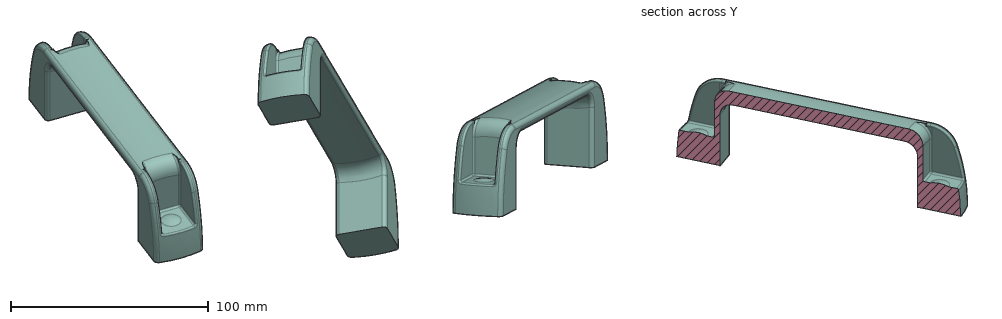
import cadquery as cq
import math

length = 155.81
width = 27.0
height = 44.93

crown_radius = 56.0
corner_radius = 15.8
corner_start_x = 57.2
outer_edge_fillet = 2.6
crown_band_depth = 7.0

opening_half_length = 54.0
opening_height = 36.93
ceiling_crown_radius = 50.0
opening_corner_radius = 7.0
opening_edge_fillet = 2.1

pocket_width = 18.5
pocket_floor_z = 16.0
pocket_back_x = 57.2
pocket_corner_radius = 1.0

flare_radius = 8.3
flare_overrun = 0.01
flare_sweep_half_angle = 40.0

lip_fillet = 1.0
lip_end_x = 55.0
lip_step_z = 42.6

screw_spacing = 132.3
dome_diameter = 10.2
dome_height = 0.9

margin = 10.0

half_length = length / 2
half_width = width / 2
tool_end_x = half_length + margin


def arc_rise(radius, half_chord):
    """Height of a circular arc above its chord."""
    return radius - math.sqrt(radius**2 - half_chord**2)


def half_outline_points(inset):
    """Points of the left outer outline: leg foot, leg arc middle, junction, corner middle, corner end."""
    corner_z = height - corner_radius
    reach = half_length - corner_start_x - corner_radius
    centre_gap = (corner_z**2 + reach**2) / (2 * reach)
    leg_radius = centre_gap + corner_radius
    leg_centre_x = leg_radius - half_length
    junction_angle = math.asin(corner_z / centre_gap)
    middle_angle = (junction_angle + math.pi / 2) / 2

    def on_leg(angle):
        radius = leg_radius - inset
        return leg_centre_x - radius * math.cos(angle), radius * math.sin(angle)

    def on_corner(angle):
        radius = corner_radius - inset
        return -corner_start_x - radius * math.cos(angle), corner_z + radius * math.sin(angle)

    return [
        on_leg(0),
        on_leg(junction_angle / 2),
        on_leg(junction_angle),
        on_corner(middle_angle),
        on_corner(math.pi / 2),
    ]


def outer_outline(inset):
    """Open outline from the left foot over the bar to the right foot."""
    left = half_outline_points(inset)
    right = [(-x, z) for x, z in reversed(left)]
    return (
        cq.Workplane("XZ")
        .moveTo(*left[0])
        .threePointArc(left[1], left[2])
        .threePointArc(left[3], left[4])
        .lineTo(*right[0])
        .threePointArc(right[1], right[2])
        .threePointArc(right[3], right[4])
    )


def make_outer_body():
    edge_x = arc_rise(crown_radius, half_width) - half_length
    band_x = crown_band_depth - half_length
    crown_band = (
        cq.Workplane("XY")
        .moveTo(edge_x, -half_width)
        .threePointArc((-half_length, 0), (edge_x, half_width))
        .lineTo(band_x, half_width)
        .lineTo(band_x, -half_width)
        .close()
        .sweep(outer_outline(0), transition="right")
    )
    core = outer_outline(crown_band_depth).close().extrude(half_width, both=True)
    return crown_band.union(core)


def make_opening():
    edge_z = opening_height + arc_rise(ceiling_crown_radius, half_width + margin)
    side_y = half_width + margin
    opening = (
        cq.Workplane("YZ")
        .moveTo(-side_y, -margin)
        .lineTo(side_y, -margin)
        .lineTo(side_y, edge_z)
        .threePointArc((0, opening_height), (-side_y, edge_z))
        .close()
        .extrude(opening_half_length, both=True)
    )
    return opening.edges("%CIRCLE").fillet(opening_corner_radius)


def fillet_side_edges(body, max_x, max_z, radius):
    """Round the edges of both flat side faces that lie above the feet and within the given reach."""
    reach = cq.selectors.BoxSelector((-max_x, -width, 0.1), (max_x, width, max_z))
    return body.faces("<Y or >Y").edges(reach).fillet(radius)


def make_handle():
    handle = fillet_side_edges(make_outer_body(), length, height, outer_edge_fillet)
    handle = handle.cut(make_opening())
    ceiling_side_z = opening_height + arc_rise(ceiling_crown_radius, half_width)
    return fillet_side_edges(handle, opening_half_length + 0.1, ceiling_side_z + 0.1, opening_edge_fillet)


def make_lip_slot():
    """Front part of the left pocket, stepped so that the lip can run back above the flare."""
    slot_back_x = pocket_back_x + pocket_corner_radius
    return (
        cq.Workplane("XZ")
        .moveTo(-tool_end_x, pocket_floor_z)
        .lineTo(-slot_back_x, pocket_floor_z)
        .lineTo(-slot_back_x, lip_step_z)
        .lineTo(-lip_end_x, lip_step_z)
        .lineTo(-lip_end_x, height + margin)
        .lineTo(-tool_end_x, height + margin)
        .close()
        .extrude(pocket_width / 2, both=True)
        .faces("<Z")
        .edges("|X")
        .fillet(pocket_corner_radius)
    )


def make_flared_pocket():
    """Full left pocket: its flared back is turned about the crown axis, its inner corners are rounded."""
    flare_top_z = height + flare_overrun
    flare_end_x = pocket_back_x - flare_radius
    flare_centre_z = flare_top_z - flare_radius
    diagonal = flare_radius * math.sqrt(0.5)
    crown_axis_z = height - crown_radius
    flared_block = (
        cq.Workplane("XZ")
        .moveTo(-tool_end_x, 0)
        .lineTo(-pocket_back_x, 0)
        .lineTo(-pocket_back_x, flare_centre_z)
        .threePointArc(
            (-flare_end_x - diagonal, flare_centre_z + diagonal),
            (-flare_end_x, flare_top_z),
        )
        .lineTo(-flare_end_x, height + margin)
        .lineTo(-tool_end_x, height + margin)
        .close()
        .revolve(2 * flare_sweep_half_angle, (0, crown_axis_z), (1, crown_axis_z))
        .rotate((0, 0, crown_axis_z), (1, 0, crown_axis_z), -flare_sweep_half_angle)
    )
    pocket_walls = (
        cq.Workplane("XY", origin=(0, 0, pocket_floor_z))
        .rect(2 * tool_end_x, pocket_width)
        .extrude(height + margin / 2 - pocket_floor_z)
    )
    pocket = flared_block.intersect(pocket_walls)
    side_edges = cq.selectors.BoxSelector(
        (-half_length, -half_width, 0), (-flare_end_x - 1, half_width, height)
    )
    return pocket.faces("<Y or >Y or <Z").edges(side_edges).fillet(pocket_corner_radius)


def make_dome():
    """Spherical cap on the left pocket floor, over the screw."""
    dome_radius = dome_diameter / 2
    sphere_radius = (dome_radius**2 + dome_height**2) / (2 * dome_height)
    top_z = pocket_floor_z + dome_height
    return (
        cq.Workplane("XY", origin=(-screw_spacing / 2, 0, top_z - sphere_radius))
        .sphere(sphere_radius)
        .intersect(
            cq.Workplane("XY", origin=(-screw_spacing / 2, 0, pocket_floor_z - dome_height))
            .circle(dome_radius)
            .extrude(2 * dome_height)
        )
    )


def mirrored_pair(left_shape):
    return left_shape.union(left_shape.mirror("YZ"))


body = make_handle().cut(mirrored_pair(make_lip_slot()))
for end_x in (-half_length, half_length):
    lip = cq.selectors.NearestToPointSelector((end_x, 0, pocket_floor_z))
    body = body.edges(lip).fillet(lip_fillet)
body = body.cut(mirrored_pair(make_flared_pocket()), clean=False)
result = body.union(mirrored_pair(make_dome()), clean=False)